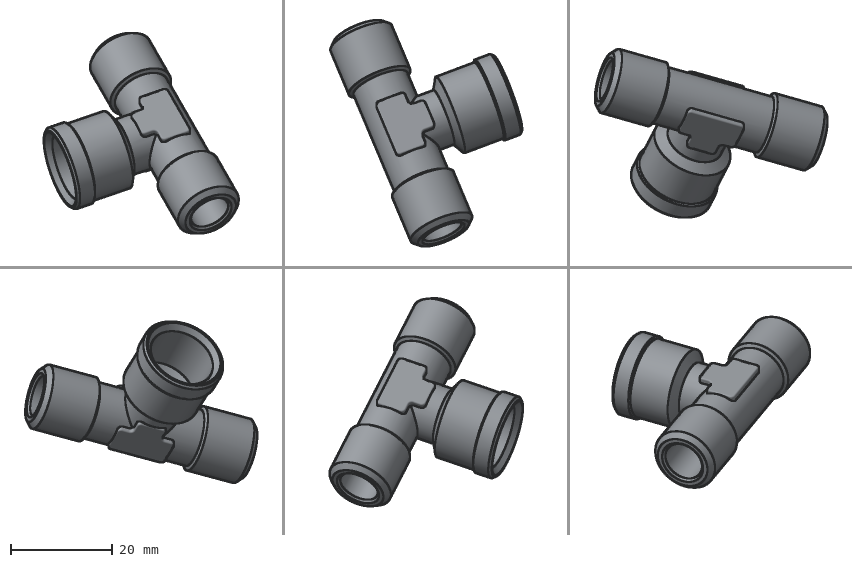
import cadquery as cq

run_length = 45.0
body_diameter = 11.5
bore_diameter = 8.0
male_diameter = 13.15
male_length = 11.45
male_end_chamfer = 1.12
male_back_taper = 0.45
bore_mouth_diameter = 9.0

branch_length = 22.5
neck_length = 9.0
barrel_start = 10.35
barrel_diameter = 16.1
rim_start = 18.5
rim_diameter = 17.0
rim_back_taper = 0.25
rim_chamfer_length = 0.55
rim_chamfer_height = 0.5
socket_diameter = 13.25
socket_mouth_diameter = 15.4
socket_mouth_depth = 1.25
socket_bottom = 11.25
socket_cone_length = 1.55

pad_height = 6.05
pad_width = 12.0
pad_back = 3.15
pad_front = 3.0
pad_stem_width = 6.05
pad_stem_end = 6.08
pad_corner_radius = 0.8
pad_edge_fillet = 0.3

body_radius = body_diameter / 2
bore_radius = bore_diameter / 2
half_run = run_length / 2


def revolve_about_x(points):
    """Revolve (x, radius) points around the run axis."""
    return cq.Workplane("XY").polyline(points).close().revolve(360, (0, 0), (1, 0))


def revolve_about_branch(points):
    """Revolve (radius, distance from run axis) points around the -Y branch axis."""
    outline = [(radius, -distance) for radius, distance in points]
    return cq.Workplane("XY").polyline(outline).close().revolve(360, (0, 0), (0, 1))


def make_run():
    male_radius = male_diameter / 2
    male_start = half_run - male_length
    right_half = [
        (male_start, body_radius),
        (male_start + male_back_taper, male_radius),
        (half_run - male_end_chamfer, male_radius),
        (half_run, male_radius - male_end_chamfer),
    ]
    left_half = [(-x, radius) for x, radius in reversed(right_half)]
    return revolve_about_x([(-half_run, 0)] + left_half + right_half + [(half_run, 0)])


def make_branch():
    barrel_radius = barrel_diameter / 2
    rim_radius = rim_diameter / 2
    return revolve_about_branch([
        (0, 0),
        (body_radius, 0),
        (body_radius, neck_length),
        (barrel_radius, barrel_start),
        (barrel_radius, rim_start),
        (rim_radius, rim_start + rim_back_taper),
        (rim_radius, branch_length - rim_chamfer_length),
        (rim_radius - rim_chamfer_height, branch_length),
        (0, branch_length),
    ])


def make_upper_pad():
    """Extrude the T outline from the mid-plane, so that its root is buried in the tubes."""
    half_width = pad_width / 2
    half_stem = pad_stem_width / 2
    outline = [
        (-half_width, pad_back),
        (half_width, pad_back),
        (half_width, -pad_front),
        (half_stem, -pad_front),
        (half_stem, -pad_stem_end),
        (-half_stem, -pad_stem_end),
        (-half_stem, -pad_front),
        (-half_width, -pad_front),
    ]
    pad = cq.Workplane("XY").polyline(outline).close().extrude(pad_height)
    pad = pad.edges("|Z").fillet(pad_corner_radius)
    return pad.faces(">Z").edges().fillet(pad_edge_fillet)


def make_run_bore():
    mouth_radius = bore_mouth_diameter / 2
    mouth_depth = mouth_radius - bore_radius
    return revolve_about_x([
        (-half_run, 0),
        (-half_run, mouth_radius),
        (-half_run + mouth_depth, bore_radius),
        (half_run - mouth_depth, bore_radius),
        (half_run, mouth_radius),
        (half_run, 0),
    ])


def make_branch_bore():
    socket_radius = socket_diameter / 2
    return revolve_about_branch([
        (0, 0),
        (bore_radius, 0),
        (bore_radius, socket_bottom - socket_cone_length),
        (socket_radius, socket_bottom),
        (socket_radius, branch_length - socket_mouth_depth),
        (socket_mouth_diameter / 2, branch_length),
        (0, branch_length),
    ])


upper_pad = make_upper_pad()
lower_pad = upper_pad.mirror("XY")

outside = make_run().union(make_branch()).union(upper_pad).union(lower_pad)
result = outside.cut(make_run_bore()).cut(make_branch_bore())